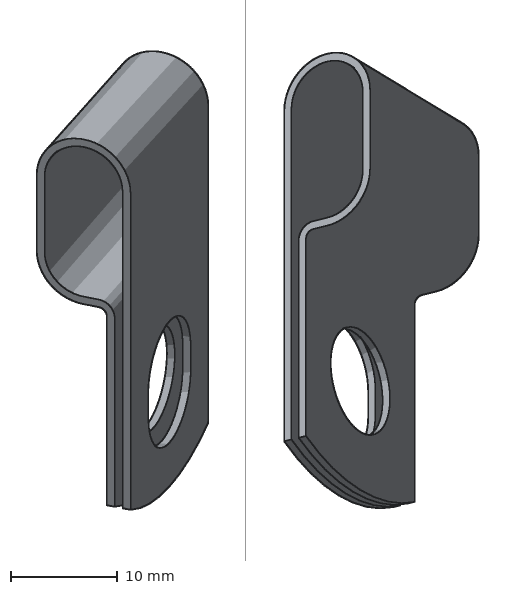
import cadquery as cq
import math

height = 40.45
width = 19.05
loop_width = 9.55
thickness = 0.8
leg_gap = 0.8

loop_straight = 7.95
bend_inner = 0.8
bend_outer = bend_inner + thickness
loop_outer = loop_width / 2
loop_inner = loop_outer - thickness

hole_diameter = 10.35
hole_height = 11.1
slot_extra = 2.5
end_rise = 2.15

upper_z = height - loop_outer
lower_z = upper_z - loop_straight
loop_floor_z = lower_z - loop_inner
loop_bottom_z = lower_z - loop_outer
bend_z = loop_floor_z - bend_outer
long_leg_inner_x = loop_inner
short_leg_inner_x = long_leg_inner_x - leg_gap
short_leg_outer_x = short_leg_inner_x - thickness
bend_x = short_leg_outer_x - bend_inner
diagonal = math.sqrt(0.5)


def make_strip():
    """Bent sheet profile in XZ, extruded symmetrically along Y."""
    profile = (
        cq.Workplane("XZ")
        .moveTo(loop_outer, 0)
        .lineTo(loop_outer, upper_z)
        .threePointArc((0, height), (-loop_outer, upper_z))
        .lineTo(-loop_outer, lower_z)
        .threePointArc(
            (-loop_outer * diagonal, lower_z - loop_outer * diagonal), (0, loop_bottom_z)
        )
        .lineTo(bend_x, loop_bottom_z)
        .threePointArc(
            (bend_x + bend_inner * diagonal, bend_z + bend_inner * diagonal),
            (short_leg_outer_x, bend_z),
        )
        .lineTo(short_leg_outer_x, 0)
        .lineTo(short_leg_inner_x, 0)
        .lineTo(short_leg_inner_x, bend_z)
        .threePointArc(
            (bend_x + bend_outer * diagonal, bend_z + bend_outer * diagonal),
            (bend_x, loop_floor_z),
        )
        .lineTo(0, loop_floor_z)
        .threePointArc(
            (-loop_inner * diagonal, lower_z - loop_inner * diagonal), (-loop_inner, lower_z)
        )
        .lineTo(-loop_inner, upper_z)
        .threePointArc((0, upper_z + loop_inner), (long_leg_inner_x, upper_z))
        .lineTo(long_leg_inner_x, 0)
        .close()
    )
    return profile.extrude(width / 2, both=True)


def make_side_outline():
    """Sheet outline in YZ with rounded lower end, spanning the full loop width."""
    return (
        cq.Workplane("YZ")
        .moveTo(-width / 2, height)
        .lineTo(-width / 2, end_rise)
        .threePointArc((0, 0), (width / 2, end_rise))
        .lineTo(width / 2, height)
        .close()
        .extrude(loop_outer, both=True)
    )


def make_leg_hole():
    """Round cutter passing through both legs."""
    return (
        cq.Workplane("YZ")
        .center(0, hole_height)
        .circle(hole_diameter / 2)
        .extrude(loop_outer)
    )


def make_long_leg_slot():
    """Upright slot cutter through the long leg only, centred on the round hole."""
    return (
        cq.Workplane("YZ", origin=(long_leg_inner_x, 0, hole_height))
        .slot2D(hole_diameter + slot_extra, hole_diameter, angle=90)
        .extrude(thickness)
    )


strip = make_strip().intersect(make_side_outline())
result = strip.cut(make_leg_hole()).cut(make_long_leg_slot())